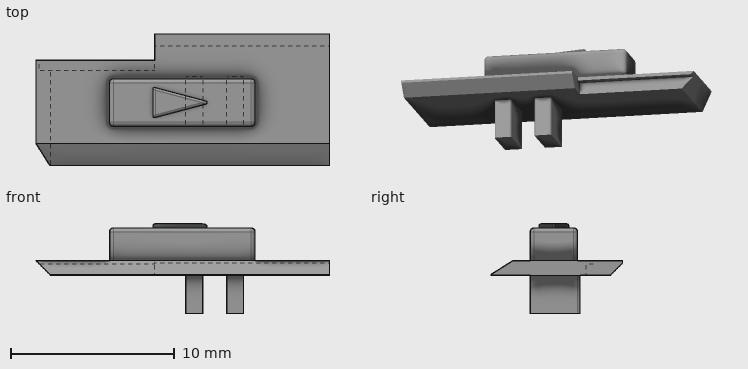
import cadquery as cq

plate_length = 17.95
plate_width = 8.05
plate_thickness = 0.9
front_lip = 0.05
front_bevel_run = 1.35
back_lip = 0.15

notch_length = 7.25
notch_depth = 1.6
ledge_thickness = 0.2
ledge_overhang = 0.65

block_length = 8.9
block_width = 2.9
block_height = 2.0
block_left = 4.5
block_front = 2.4
block_radius = 0.25

arrow_height = 0.25
arrow_left = 7.15
arrow_length = 3.6
arrow_base = 1.9
arrow_radius = 0.1
arrow_edge_radius = 0.15

leg_thickness = 1.05
leg_width = 3.05
leg_height = 2.35
leg_pitch = 2.5
first_leg_left = 9.15
leg_radius = 0.15


def box(x, y, z, length, width, height):
    """Box given by its lowest corner and its sizes."""
    return cq.Workplane("XY").box(length, width, height, centered=False).translate((x, y, z))


def make_plate():
    """Plate with a sloped front, an undercut back and a left edge undercut at 45 degrees."""
    back_undercut = plate_thickness - back_lip
    cross_section = [
        (0, 0),
        (plate_width - back_undercut, 0),
        (plate_width, back_undercut),
        (plate_width, plate_thickness),
        (front_bevel_run, plate_thickness),
        (0, front_lip),
    ]
    plate = cq.Workplane("YZ").polyline(cross_section).close().extrude(plate_length)
    left_wedge = (
        cq.Workplane("XZ")
        .polyline([(0, 0), (plate_thickness, 0), (0, plate_thickness)])
        .close()
        .extrude(-plate_width)
    )
    return plate.cut(left_wedge)


def make_notch():
    """Corner notch, with the wider recess below the ledge."""
    upper_front = plate_width - notch_depth
    lower_front = upper_front - ledge_overhang
    upper = box(0, upper_front, 0, notch_length, notch_depth, plate_thickness)
    lower = box(
        0, lower_front, 0, notch_length, notch_depth + ledge_overhang, plate_thickness - ledge_thickness
    )
    return upper.union(lower)


def make_block():
    """Block with rounded upright and top edges."""
    block = box(block_left, block_front, plate_thickness, block_length, block_width, block_height)
    return block.edges("|Z or >Z").fillet(block_radius)


def make_arrow():
    """Triangular arrow with rounded corners and a rounded top edge."""
    center_y = block_front + block_width / 2
    base_z = plate_thickness + block_height
    arrow = (
        cq.Workplane("XY", origin=(arrow_left, center_y, base_z))
        .polyline([(0, -arrow_base / 2), (arrow_length, 0), (0, arrow_base / 2)])
        .close()
        .extrude(arrow_height)
    )
    return arrow.edges("|Z").fillet(arrow_radius).faces(">Z").edges().fillet(arrow_edge_radius)


def make_leg(left):
    """Leg with rounded upright edges at its back."""
    leg = box(left, block_front, -leg_height, leg_thickness, leg_width, leg_height)
    return leg.edges("|Z and >Y").fillet(leg_radius)


result = make_plate().cut(make_notch()).union(make_block()).union(make_arrow())
for leg_index in range(2):
    result = result.union(make_leg(first_leg_left + leg_index * leg_pitch))